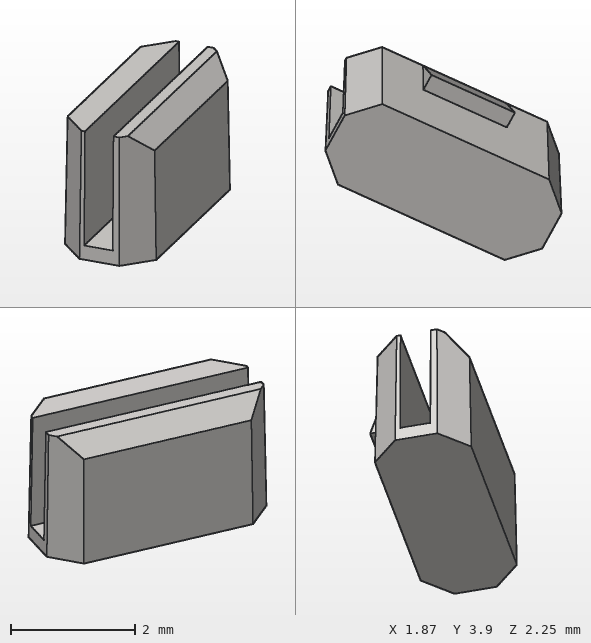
import cadquery as cq
import math

body_width = 1.6
body_length = 3.9
body_height = 2.25
corner_cut = 0.45
draft_angle = 1.0
draft_slope = math.tan(math.radians(draft_angle))
body_center_x = 0.02

slot_width = 0.5
floor_thickness = 0.25

bevel_size = 0.33

barb_length = 1.5
barb_height = 0.95
barb_reach = 0.27

base_left = body_center_x - body_width / 2
base_right = body_center_x + body_width / 2
top_left = base_left + body_height * draft_slope


def make_body():
    """Octagonal block tapering upward."""
    half_width = body_width / 2
    half_length = body_length / 2
    corner = [
        (half_width, half_length - corner_cut),
        (half_width - corner_cut, half_length),
    ]
    outline = (
        corner
        + [(-x, y) for x, y in reversed(corner)]
        + [(-x, -y) for x, y in corner]
        + [(x, -y) for x, y in reversed(corner)]
    )
    return (
        cq.Workplane("XY", origin=(body_center_x, 0, 0))
        .polyline(outline)
        .close()
        .extrude(body_height, taper=draft_angle)
    )


def extrude_profile(points, length):
    """Prism along Y from an XZ outline, centred on Y = 0."""
    return cq.Workplane("XZ").polyline(points).close().extrude(length / 2, both=True)


def make_slot():
    """Box that opens the channel between the two walls."""
    slot_depth = body_height - floor_thickness
    return (
        cq.Workplane("XY", origin=(0, 0, floor_thickness))
        .box(slot_width, body_length, slot_depth, centered=(True, True, False))
    )


def make_bevel():
    """Wedge that removes the top edge of the +X wall at 45 degrees."""
    bevel_bottom = body_height - bevel_size
    wall_x = base_right - bevel_bottom * draft_slope
    outline = [
        (wall_x, bevel_bottom),
        (wall_x, body_height),
        (wall_x - bevel_size, body_height),
    ]
    return extrude_profile(outline, body_length)


def make_barb():
    """Ramp starting flush at the top edge, with a flat catch underneath."""
    catch_z = body_height - barb_height
    root_x = -slot_width / 2
    outline = [
        (top_left, body_height),
        (base_left - barb_reach, catch_z),
        (root_x, catch_z),
        (root_x, body_height),
    ]
    return extrude_profile(outline, barb_length)


result = make_body().union(make_barb()).cut(make_slot()).cut(make_bevel())